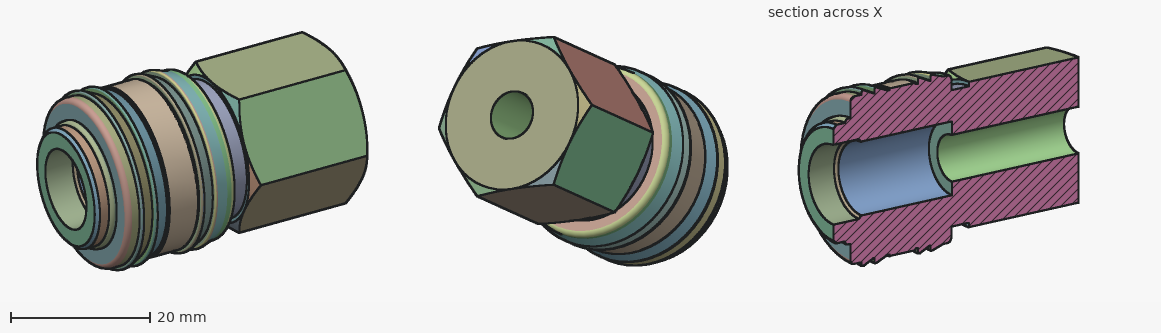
import cadquery as cq
import math

total_length = 43.5

nose_radius = 9.0
nose_chamfer = 0.55
collar_radius = 9.55
collar_front = 2.05
collar_edge_round = 0.65

sleeve_front = 3.0
sleeve_back = 21.0
sleeve_radius = 12.7
sleeve_edge_round = 0.8

tooth_radius = 13.3
tooth_pitch = 2.25
tooth_crest_width = 0.42
tooth_crest_round = 0.25
front_pair_start = 5.0
back_pair_start = 14.95
groove_radius = 12.45
groove_width = 0.33
front_ramp_foot = 9.65
back_ramp_foot = 19.5

neck_radius = 10.35
hex_front = 24.0
hex_across_flats = 22.0
hex_chamfer_angle = 30.0

entry_radius = 6.0
entry_depth = 4.5
entry_chamfer = 0.45
socket_depth = sleeve_back
socket_radius = entry_radius - entry_chamfer
passage_radius = 3.5


def cylinder(radius, start, end):
    """Round bar along +Y from start to end."""
    workplane = cq.Workplane("XZ", origin=(0, start, 0))
    return workplane.circle(radius).extrude(start - end)


def revolve_profile(points):
    """Turn a closed (radius, Y) outline about the Y axis."""
    return cq.Workplane("XY").polyline(points).close().revolve(360, (0, 0, 0), (0, 1, 0))


def make_nose():
    nose = cylinder(nose_radius, 0, sleeve_front).faces("<Y").edges().chamfer(nose_chamfer)
    collar = cylinder(collar_radius, collar_front, sleeve_front)
    return nose.union(collar.faces("<Y").edges().fillet(collar_edge_round))


def make_tooth(front, ramp_foot, foot_radius):
    """Grip ring with a rounded front edge, a narrow crest and a ramp falling towards the back."""
    center_to_arc = tooth_crest_round * math.sqrt(0.5)
    arc_middle = (
        tooth_radius - tooth_crest_round + center_to_arc,
        front + tooth_crest_round - center_to_arc,
    )
    return (
        cq.Workplane("XY")
        .moveTo(0, front)
        .lineTo(tooth_radius - tooth_crest_round, front)
        .threePointArc(arc_middle, (tooth_radius, front + tooth_crest_round))
        .lineTo(tooth_radius, front + tooth_crest_width)
        .lineTo(foot_radius, ramp_foot)
        .lineTo(0, ramp_foot)
        .close()
        .revolve(360, (0, 0, 0), (0, 1, 0))
    )


def make_sleeve():
    body = cylinder(sleeve_radius, sleeve_front, sleeve_back).edges().fillet(sleeve_edge_round)
    front_pair_second = front_pair_start + tooth_pitch
    back_pair_second = back_pair_start + tooth_pitch

    for start, end in (
        (front_pair_start, front_ramp_foot + groove_width),
        (back_pair_start - groove_width, back_pair_second),
    ):
        body = body.cut(cylinder(tooth_radius, start, end).cut(cylinder(groove_radius, start, end)))

    for front, ramp_foot, foot_radius in (
        (front_pair_start, front_pair_second, groove_radius),
        (front_pair_second, front_ramp_foot, groove_radius),
        (back_pair_start, back_pair_second, groove_radius),
        (back_pair_second, back_ramp_foot, sleeve_radius),
    ):
        body = body.union(make_tooth(front, ramp_foot, foot_radius))
    return body


def make_hexagon():
    corner_radius = hex_across_flats / 2 / math.cos(math.radians(30))
    length = total_length - hex_front
    prism = (
        cq.Workplane("XZ", origin=(0, hex_front, 0))
        .polygon(6, 2 * corner_radius)
        .extrude(-length)
    )
    flat_radius = hex_across_flats / 2
    chamfer_length = (corner_radius - flat_radius) * math.tan(math.radians(hex_chamfer_angle))
    envelope = revolve_profile([
        (0, hex_front),
        (flat_radius, hex_front),
        (corner_radius, hex_front + chamfer_length),
        (corner_radius, total_length - chamfer_length),
        (flat_radius, total_length),
        (0, total_length),
    ])
    return prism.intersect(envelope)


def make_bore():
    """Plug socket, narrowed by a chamfered step near its mouth, and the flow passage behind it."""
    return revolve_profile([
        (0, 0),
        (entry_radius, 0),
        (entry_radius, entry_depth),
        (socket_radius, entry_depth + entry_chamfer),
        (socket_radius, socket_depth),
        (passage_radius, socket_depth),
        (passage_radius, total_length),
        (0, total_length),
    ])


neck = cylinder(neck_radius, sleeve_back, hex_front)
result = make_nose().union(make_sleeve()).union(neck).union(make_hexagon()).cut(make_bore())